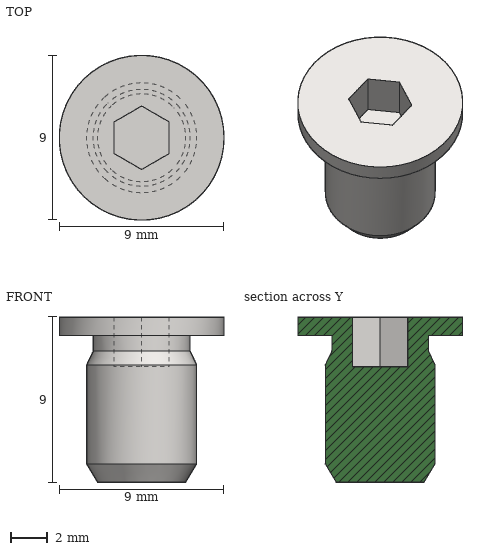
import cadquery as cq
import math

head_diameter = 9.0
total_height = 9.0

head_height = 1.0
neck_height = 0.85
shoulder_height = 0.75
tip_height = 1.0

neck_diameter = 5.29
shank_diameter = 6.0
tip_diameter = 4.81

socket_across_flats = 3.0
socket_depth = 2.7

head_underside = total_height - head_height
neck_bottom = head_underside - neck_height
shank_top = neck_bottom - shoulder_height


def make_body():
    """Revolve the half profile of head, neck, shank and tapered tip."""
    profile = [
        (0, 0),
        (tip_diameter / 2, 0),
        (shank_diameter / 2, tip_height),
        (shank_diameter / 2, shank_top),
        (neck_diameter / 2, neck_bottom),
        (neck_diameter / 2, head_underside),
        (head_diameter / 2, head_underside),
        (head_diameter / 2, total_height),
        (0, total_height),
    ]
    half_section = cq.Workplane("XZ").polyline(profile).close()
    return half_section.revolve(360, (0, 0, 0), (0, 1, 0))


def make_socket():
    """Hexagonal prism sunk from the top face, with corners on the Y axis."""
    across_corners = socket_across_flats / math.cos(math.radians(30))
    return (
        cq.Workplane("XY")
        .polygon(6, across_corners)
        .extrude(socket_depth)
        .rotate((0, 0, 0), (0, 0, 1), 90)
        .translate((0, 0, total_height - socket_depth))
    )


result = make_body().cut(make_socket())